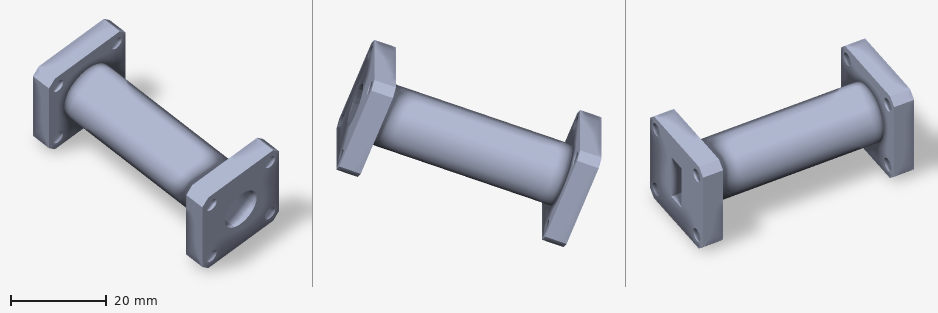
import cadquery as cq
import math

LENGTH = 50.8
FLANGE_SIZE = 22.35
FLANGE_THICKNESS = 4.85
CORNER_CHAMFER = 1.75
TUBE_DIAMETER = 13.5

HOLE_DIAMETER = 3.0
HOLE_SPACING_Y = 17.0
HOLE_SPACING_Z = 16.25

PORT_WIDTH = 4.3
PORT_HEIGHT = 10.75
ROUND_PORT_DIAMETER = 9.25


def flange(start_x):
    """Square flange with cut corners and four bolt holes, extending toward +X."""
    plate = (
        cq.Workplane("YZ", origin=(start_x, 0, 0))
        .rect(FLANGE_SIZE, FLANGE_SIZE)
        .extrude(FLANGE_THICKNESS)
        .edges("|X")
        .chamfer(CORNER_CHAMFER)
    )
    holes = (
        cq.Workplane("YZ", origin=(start_x, 0, 0))
        .rect(HOLE_SPACING_Y, HOLE_SPACING_Z, forConstruction=True)
        .vertices()
        .circle(HOLE_DIAMETER / 2)
        .extrude(FLANGE_THICKNESS)
    )
    return plate.cut(holes)


def transition_bore():
    """Ruled passage from the rectangle to four arcs that meet in line with its corners."""
    half_width = PORT_WIDTH / 2
    half_height = PORT_HEIGHT / 2
    radius = ROUND_PORT_DIAMETER / 2
    corner_angle = math.atan2(half_height, half_width)
    arc_y = radius * math.cos(corner_angle)
    arc_z = radius * math.sin(corner_angle)

    rectangle = (
        cq.Workplane("YZ", origin=(-LENGTH / 2, 0, 0))
        .moveTo(half_width, half_height)
        .lineTo(-half_width, half_height)
        .lineTo(-half_width, -half_height)
        .lineTo(half_width, -half_height)
        .close()
    )
    circle = (
        cq.Workplane("YZ", origin=(LENGTH / 2, 0, 0))
        .moveTo(arc_y, arc_z)
        .threePointArc((0, radius), (-arc_y, arc_z))
        .threePointArc((-radius, 0), (-arc_y, -arc_z))
        .threePointArc((0, -radius), (arc_y, -arc_z))
        .threePointArc((radius, 0), (arc_y, arc_z))
        .close()
    )
    return cq.Solid.makeLoft([rectangle.val(), circle.val()], True)


tube = (
    cq.Workplane("YZ", origin=(-LENGTH / 2, 0, 0))
    .circle(TUBE_DIAMETER / 2)
    .extrude(LENGTH)
)

result = (
    tube
    .union(flange(-LENGTH / 2))
    .union(flange(LENGTH / 2 - FLANGE_THICKNESS))
    .cut(cq.Workplane(obj=transition_bore()))
)